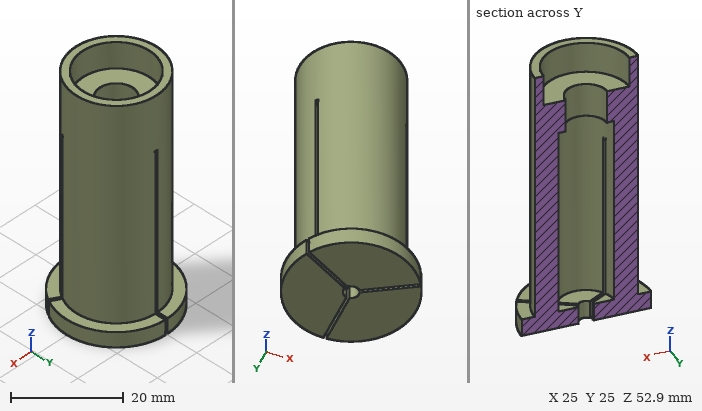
import cadquery as cq
import math

LENGTH = 52.9
TUBE_DIAMETER = 20.0
FLANGE_DIAMETER = 25.0
FLANGE_THICKNESS = 3.5

RECESS_DIAMETER = 16.5
RECESS_DEPTH = 6.0
NECK_DIAMETER = 8.0
CAVITY_DIAMETER = 10.6
SCREW_HOLE_DIAMETER = 2.95

SLOT_COUNT = 3
SLOT_WIDTH = 0.6
SLOT_TOP_DROP = 12.55
SLOT_ROOF_ANGLE = 47.0
FIRST_SLOT_ANGLE = 90.0

recess_floor_z = LENGTH - RECESS_DEPTH
slot_top_z = LENGTH - SLOT_TOP_DROP
cavity_roof_z = slot_top_z
cavity_floor_z = FLANGE_THICKNESS
tube_radius = TUBE_DIAMETER / 2
flange_radius = FLANGE_DIAMETER / 2


def cylinder(diameter, bottom_z, top_z):
    """Upright cylinder on the Z axis between two levels."""
    return cq.Workplane("XY").workplane(offset=bottom_z).circle(diameter / 2).extrude(top_z - bottom_z)


def make_slot_cutter(angle):
    """Thin radial blade from the axis outward, with a roof that slopes down toward the axis."""
    roof_z_at_axis = slot_top_z - tube_radius * math.tan(math.radians(SLOT_ROOF_ANGLE))
    blade_reach = flange_radius + SLOT_WIDTH
    blade = (
        cq.Workplane("XZ")
        .moveTo(0, 0)
        .lineTo(blade_reach, 0)
        .lineTo(blade_reach, slot_top_z)
        .lineTo(tube_radius, slot_top_z)
        .lineTo(0, roof_z_at_axis)
        .close()
        .extrude(SLOT_WIDTH / 2, both=True)
    )
    return blade.rotate((0, 0, 0), (0, 0, 1), angle)


def make_collet():
    """Flanged tube with a stepped axial opening and slotted spring fingers."""
    flange = cylinder(FLANGE_DIAMETER, 0, FLANGE_THICKNESS)
    tube = cylinder(TUBE_DIAMETER, 0, LENGTH)
    body = flange.union(tube)

    body = body.cut(cylinder(RECESS_DIAMETER, recess_floor_z, LENGTH))
    body = body.cut(cylinder(NECK_DIAMETER, cavity_roof_z, recess_floor_z))
    body = body.cut(cylinder(CAVITY_DIAMETER, cavity_floor_z, cavity_roof_z))
    body = body.cut(cylinder(SCREW_HOLE_DIAMETER, 0, cavity_floor_z))

    for index in range(SLOT_COUNT):
        slot_angle = FIRST_SLOT_ANGLE + index * 360 / SLOT_COUNT
        body = body.cut(make_slot_cutter(slot_angle))
    return body


collet = make_collet()

result = cq.Compound.makeCompound([collet.val()])